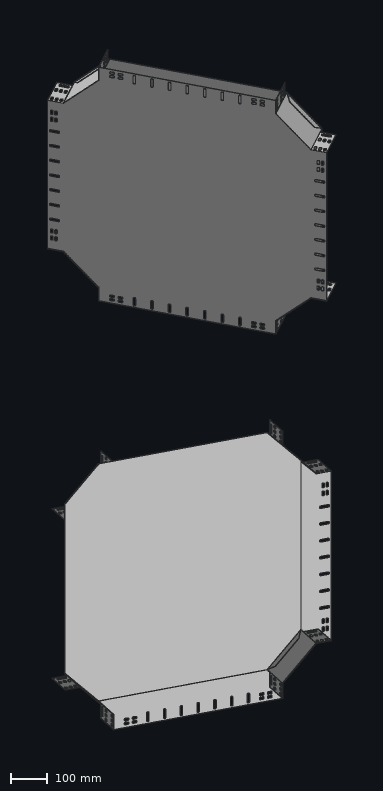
import cadquery as cq
import math


half_span = 396.0
half_mouth = 252.0
corner_reach = 351.0
depth = 101.0
tab_depth = 85.0
sheet = 1.3
lip_depth = 20.5

mouth_pitch = 50.0
mouth_slot_count = 7
long_slot_length = 28.5
slot_width = 7.0
mouth_slot_inset = 20.0
pair_centre = 201.0
pair_pitch = 24.0
base_slot_length = 13.5
base_slot_insets = (12.0, 24.0)

tab_slot_length = 12.0
tab_slot_insets = (9.0, 22.0, 36.0)
tab_slot_rows = (12.0, 51.5)
tab_long_slot_inset = 24.0
tab_long_slot_height = 74.0

QUARTER_TURN = 90.0
CORNER_ANGLE = QUARTER_TURN / 2
QUARTERS = range(4)


def turned(shape, quarter):
    """Turn a shape about the Y axis by a number of quarter turns."""
    return shape.rotate((0, 0, 0), (0, 1, 0), quarter * QUARTER_TURN)


def plate(points, y_start, thickness):
    """Flat plate of the given XZ outline, growing towards +Y."""
    return cq.Workplane("XZ", origin=(0, y_start, 0)).polyline(points).close().extrude(-thickness)


def four_fold(corner_points):
    """Outline made of the corner points repeated at each quarter turn."""
    points = []
    for _ in QUARTERS:
        points += corner_points
        corner_points = [(-z, x) for x, z in corner_points]
    return points


def corner_outline():
    """Edge of the base around the +X +Z corner."""
    return [
        (half_span, half_mouth),
        (corner_reach, half_mouth),
        (half_mouth, corner_reach),
        (half_mouth, half_span),
    ]


def corner_wall():
    """Diagonal wall with a shallower coupling tab at each end."""
    bend_shift = sheet * math.tan(math.radians(CORNER_ANGLE / 2))
    inner_mouth = half_mouth - sheet
    inner_reach = corner_reach - bend_shift
    inner_edge = [
        (inner_mouth, half_span),
        (inner_mouth, inner_reach),
        (inner_reach, inner_mouth),
        (half_span, inner_mouth),
    ]
    wall_top = depth - sheet
    wall = plate(corner_outline() + inner_edge, 0, wall_top)
    notch_length = half_span - corner_reach
    notch_height = wall_top - tab_depth
    notch = cq.Workplane("XY").box(notch_length, notch_height, sheet, centered=False)
    wall = wall.cut(notch.translate((corner_reach, tab_depth, inner_mouth)))
    notch = cq.Workplane("XY").box(sheet, notch_height, notch_length, centered=False)
    wall = wall.cut(notch.translate((inner_mouth, tab_depth, corner_reach)))
    return wall


def corner_lip():
    """Folded lip with 45 degree ends, lying flush in the plane of a corner wall."""
    edge_length = (corner_reach - half_mouth) * math.sqrt(2)
    edge_distance = (corner_reach + half_mouth) / math.sqrt(2)
    half_top = edge_length / 2
    half_bottom = half_top - lip_depth
    profile = [
        (-half_top, depth),
        (half_top, depth),
        (half_bottom, depth - lip_depth),
        (-half_bottom, depth - lip_depth),
    ]
    lip = cq.Workplane("XY").polyline(profile).close().extrude(sheet)
    return lip.translate((0, 0, edge_distance - sheet)).rotate((0, 0, 0), (0, 1, 0), CORNER_ANGLE)


def mouth_slots():
    """Cutter for the base perforation along the +Z mouth."""
    through = 2 * sheet
    face = cq.Workplane("XZ", origin=(0, -sheet / 2, 0))
    middle = (mouth_slot_count - 1) / 2
    long_places = [
        ((i - middle) * mouth_pitch, half_span - mouth_slot_inset) for i in range(mouth_slot_count)
    ]
    short_places = [
        (side * pair_centre + offset * pair_pitch / 2, half_span - inset)
        for side in (-1, 1)
        for offset in (-1, 1)
        for inset in base_slot_insets
    ]
    long_slots = (
        face.pushPoints(long_places)
        .slot2D(long_slot_length, slot_width, QUARTER_TURN)
        .extrude(-through)
    )
    short_slots = (
        face.pushPoints(short_places)
        .slot2D(base_slot_length, slot_width)
        .extrude(-through)
    )
    return long_slots.add(short_slots).combine()


def tab_slots():
    """Cutter through both tabs that stand beside the +X mouth."""
    length = 2 * half_span
    face = cq.Workplane("XY", origin=(0, 0, -half_span))
    short_places = [(half_span - inset, row) for inset in tab_slot_insets for row in tab_slot_rows]
    short_slots = (
        face.pushPoints(short_places)
        .slot2D(tab_slot_length, slot_width, QUARTER_TURN)
        .extrude(length)
    )
    long_slot = (
        face.center(half_span - tab_long_slot_inset, tab_long_slot_height)
        .slot2D(long_slot_length, slot_width)
        .extrude(length)
    )
    return short_slots.add(long_slot).combine()


def build_tray():
    """Base plate, four corner walls recessed for the cover lips, and all the slots."""
    tray = plate(four_fold(corner_outline()), 0, sheet)
    wall = corner_wall().cut(corner_lip())
    for quarter in QUARTERS:
        tray = tray.union(turned(wall, quarter))
    base_cutter = mouth_slots()
    tab_cutter = tab_slots()
    for quarter in QUARTERS:
        tray = tray.cut(turned(base_cutter, quarter)).cut(turned(tab_cutter, quarter))
    return tray


def build_cover():
    """Octagonal cover plate with one lip folded down at each corner."""
    corner = [(corner_reach, half_mouth), (half_mouth, corner_reach)]
    cover = plate(four_fold(corner), depth - sheet, sheet)
    lip = corner_lip()
    for quarter in QUARTERS:
        cover = cover.union(turned(lip, quarter))
    return cover


tray = build_tray()
cover = build_cover()
result = cq.Compound.makeCompound([*tray.solids().vals(), *cover.solids().vals()])